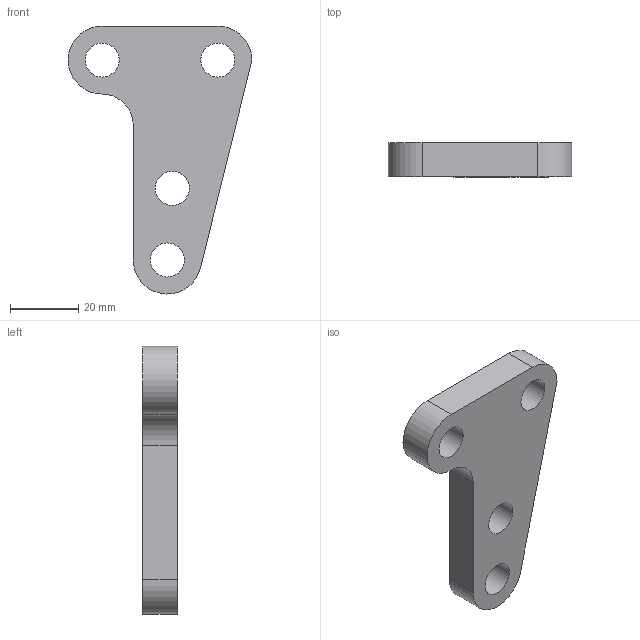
import cadquery as cq
import math

thickness = 10.0
lobe_radius = 10.0
hole_diameter = 10.0

upper_left = (0.0, 0.0)
upper_right = (34.0, 0.0)
lower = (19.15, -58.75)
middle = (20.6, -37.7)

leg_left_x = lower[0] - lobe_radius
corner_radius = leg_left_x - upper_left[0]
corner_center = (upper_left[0], upper_left[1] - lobe_radius - corner_radius)

slant_start = (upper_right[0] + lobe_radius, upper_right[1])
start_dx = slant_start[0] - lower[0]
start_dz = slant_start[1] - lower[1]
start_distance = math.hypot(start_dx, start_dz)
slant_normal = math.atan2(start_dz, start_dx) - math.acos(lobe_radius / start_distance)


def point_on_circle(center, radius, angle):
    """Point at the given angle (radians) on a circle in the XZ plane."""
    return (center[0] + radius * math.cos(angle), center[1] + radius * math.sin(angle))


def lobe_point(center, angle):
    return point_on_circle(center, lobe_radius, angle)


def make_plate():
    """Bell-crank plate, with its front face on Y = 0 and its thickness toward +Y."""
    up = math.pi / 2
    left = math.pi
    down = -math.pi / 2
    lower_middle = (slant_normal - left) / 2
    return (
        cq.Workplane("XZ")
        .moveTo(*lobe_point(upper_left, up))
        .lineTo(*lobe_point(upper_right, up))
        .threePointArc(lobe_point(upper_right, up / 2), slant_start)
        .lineTo(*lobe_point(lower, slant_normal))
        .threePointArc(lobe_point(lower, lower_middle), lobe_point(lower, left))
        .lineTo(*point_on_circle(corner_center, corner_radius, 0))
        .threePointArc(
            point_on_circle(corner_center, corner_radius, up / 2),
            lobe_point(upper_left, down),
        )
        .threePointArc(lobe_point(upper_left, left), lobe_point(upper_left, up))
        .close()
        .extrude(-thickness)
    )


def make_holes():
    """Cylinders for the four pivot holes, which pass through the plate."""
    return (
        cq.Workplane("XZ")
        .pushPoints([upper_left, upper_right, middle, lower])
        .circle(hole_diameter / 2)
        .extrude(-thickness)
    )


result = make_plate().cut(make_holes())